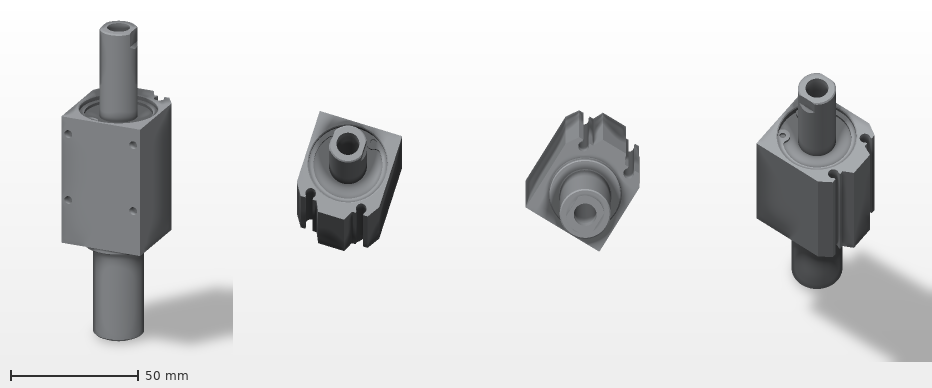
import cadquery as cq
import math


shaft_length = 130.2
shaft_radius = 15.0 / 2
shaft_bore_radius = 9.0 / 2
shaft_chamfer = 0.5
upper_flat_width = 13.0
upper_flat_length = 6.0
upper_flat_runout = 1.5
lower_flat_width = 12.1

block_width = 34.0
block_top = 96.0
block_height = 53.6
block_bottom = block_top - block_height
half_width = block_width / 2
front_y = -17.0
back_y = 22.0
shoulder_y = 18.0
bevel_start_y = 13.0
bevel_top_x = 13.8
rail_foot_x = 7.3
rail_top_x = 5.3

slot_x = 10.4
slot_neck_width = 3.0
slot_radius = 2.1
slot_y = 15.8

mount_pitch = 28.0
mount_top_offset = 7.0
mount_radius = 3.3 / 2
mount_depth = 6.0
mount_tip_angle = 118

recess_radius = 31.0 / 2
recess_chamfer = 0.4
ring_depth = 2.0
ring_thickness = 1.2
recess_depth = ring_depth + ring_thickness
ring_inner_radius = 13.5
ear_x = 6.8
ear_y = -11.7
ear_radius = 2.9
ear_hole_radius = 2.5 / 2
ear_blend_radius = 1.8

flange_radius = 28.1 / 2
flange_height = 3.3
flange_bottom = block_bottom - flange_height
flange_chamfer = 0.4
tube_radius = 20.0 / 2
tube_bottom = 1.0
tube_chamfer = 0.5
root_flare = 0.4


def make_block():
    right_outline = [
        (half_width, front_y),
        (half_width, bevel_start_y),
        (bevel_top_x, shoulder_y),
        (rail_foot_x, shoulder_y),
        (rail_top_x, back_y),
    ]
    left_outline = [(-x, y) for x, y in reversed(right_outline)]
    outline = cq.Workplane("XY", origin=(0, 0, block_bottom)).polyline(right_outline + left_outline)
    return outline.close().extrude(block_height)


def make_keyhole_slot(x):
    plane = cq.Workplane("XY", origin=(x, slot_y, block_bottom))
    channel = plane.circle(slot_radius).extrude(block_height)
    neck_depth = back_y - slot_y
    neck = plane.center(0, neck_depth / 2).rect(slot_neck_width, neck_depth).extrude(block_height)
    return channel.union(neck)


def make_mount_hole(x, z):
    """Blind drilled hole with a conical tip, running in from the front face."""
    tip_length = mount_radius / math.tan(math.radians(mount_tip_angle / 2))
    half_section = [
        (0, 0),
        (mount_radius, 0),
        (mount_radius, mount_depth),
        (0, mount_depth + tip_length),
    ]
    plane = cq.Workplane("XY", origin=(x, front_y, z))
    return plane.polyline(half_section).close().revolve(360, (0, 0), (0, 1))


def make_recess():
    floor_z = block_top - recess_depth
    half_section = [
        (0, floor_z),
        (recess_radius, floor_z),
        (recess_radius, block_top - recess_chamfer),
        (recess_radius + recess_chamfer, block_top),
        (0, block_top),
    ]
    return cq.Workplane("XZ").polyline(half_section).close().revolve(360, (0, 0), (0, 1))


def make_retaining_ring():
    """Open ring on the recess floor, ending in two ears with plier holes."""
    plane = cq.Workplane("XY", origin=(0, 0, block_top - recess_depth))
    disc = plane.circle(recess_radius).extrude(ring_thickness)
    gap = plane.center(0, -recess_radius).rect(2 * ear_x, recess_radius).extrude(ring_thickness)
    ring = disc.cut(plane.circle(ring_inner_radius).extrude(ring_thickness)).cut(gap)
    ear_places = [(-ear_x, ear_y), (ear_x, ear_y)]
    ears = plane.pushPoints(ear_places).circle(ear_radius).extrude(ring_thickness).intersect(disc)
    ring = ring.union(ears)
    ring = ring.edges("|Z").edges(">Y").fillet(ear_blend_radius)
    return ring.cut(plane.pushPoints(ear_places).circle(ear_hole_radius).extrude(ring_thickness))


def make_flange_and_tube():
    half_section = [
        (0, block_bottom),
        (flange_radius + root_flare, block_bottom),
        (flange_radius, block_bottom - root_flare),
        (flange_radius, flange_bottom + flange_chamfer),
        (flange_radius - flange_chamfer, flange_bottom),
        (tube_radius + root_flare, flange_bottom),
        (tube_radius, flange_bottom - root_flare),
        (tube_radius, tube_bottom + tube_chamfer),
        (tube_radius - tube_chamfer, tube_bottom),
        (0, tube_bottom),
    ]
    return cq.Workplane("XZ").polyline(half_section).close().revolve(360, (0, 0), (0, 1))


def make_housing():
    housing = make_block().union(make_flange_and_tube())
    for side in (-1, 1):
        housing = housing.cut(make_keyhole_slot(side * slot_x))
        for row in (0, 1):
            mount_z = block_top - mount_top_offset - row * mount_pitch
            housing = housing.cut(make_mount_hole(side * mount_pitch / 2, mount_z))
    housing = housing.cut(make_recess()).union(make_retaining_ring())
    return housing.cut(cq.Workplane("XY").circle(shaft_radius).extrude(shaft_length))


def make_upper_flat_cutter(side):
    """Material beside one upper wrench flat, down to its sloped runout."""
    flat_x = upper_flat_width / 2
    flat_bottom = shaft_length - upper_flat_length
    profile = [
        (side * flat_x, shaft_length),
        (side * flat_x, flat_bottom),
        (side * shaft_radius, flat_bottom - upper_flat_runout),
        (side * shaft_radius, shaft_length),
    ]
    return cq.Workplane("XZ").polyline(profile).close().extrude(shaft_radius, both=True)


def make_lower_flat_cutter(side):
    """Material beside one lower wrench flat, which ends level with the tube."""
    cut_width = shaft_radius - lower_flat_width / 2
    plane = cq.Workplane("XY").center(side * (shaft_radius - cut_width / 2), 0)
    return plane.rect(cut_width, 2 * shaft_radius).extrude(tube_bottom)


def make_shaft():
    shaft = cq.Workplane("XY").circle(shaft_radius).extrude(shaft_length)
    shaft = shaft.faces(">Z").chamfer(shaft_chamfer)
    shaft = shaft.cut(cq.Workplane("XY").circle(shaft_bore_radius).extrude(shaft_length))
    for side in (-1, 1):
        shaft = shaft.cut(make_upper_flat_cutter(side)).cut(make_lower_flat_cutter(side))
    return shaft


housing = make_housing()
shaft = make_shaft()
result = cq.Compound.makeCompound([housing.val(), shaft.val()])